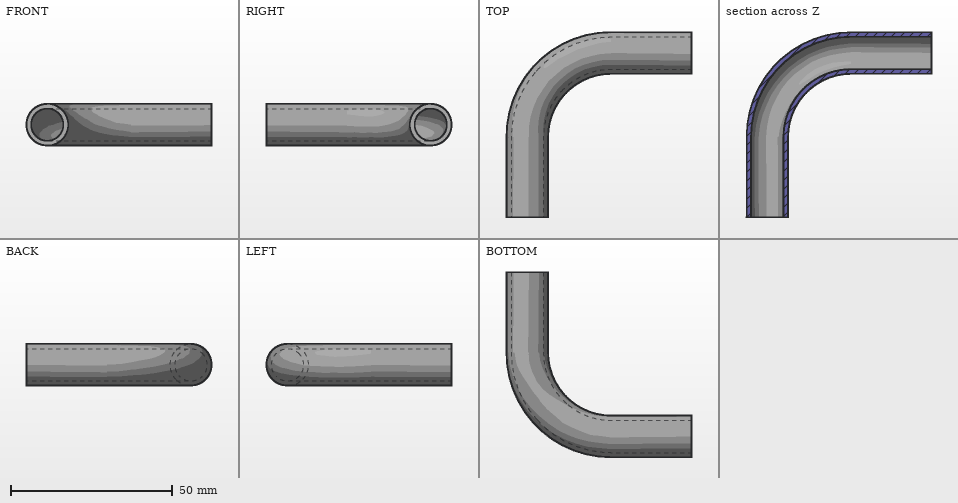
import cadquery as cq
import math

OUTER_DIAMETER = 13.0
INNER_DIAMETER = 10.0
STRAIGHT_LENGTH = 25.0
BEND_RADIUS = 26.0
BEND_ANGLE = 90.0

LEG_END = BEND_RADIUS + STRAIGHT_LENGTH

BEND_MIDPOINT = BEND_RADIUS * (1 - math.cos(math.radians(BEND_ANGLE / 2)))


def tube_centreline():
    """Path in the XY plane: up the Y leg, round the bend, out along the X leg."""
    return (
        cq.Workplane("XY")
        .moveTo(0, -LEG_END)
        .lineTo(0, -BEND_RADIUS)
        .threePointArc((BEND_MIDPOINT, -BEND_MIDPOINT), (BEND_RADIUS, 0))
        .lineTo(LEG_END, 0)
    )


def bent_tube():
    """Sweep the ring-shaped tube section along the centreline."""
    section = (
        cq.Workplane("XZ", origin=(0, -LEG_END, 0))
        .circle(OUTER_DIAMETER / 2)
        .circle(INNER_DIAMETER / 2)
    )
    return section.sweep(tube_centreline())


result = bent_tube()